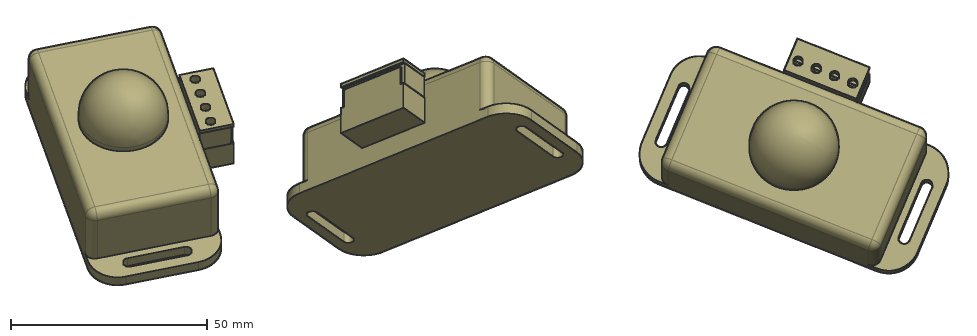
import cadquery as cq

flange_length = 76.0
flange_thickness = 3.05
housing_length = 60.2
housing_depth = 35.0
housing_height = 20.0
edge_radius = 2.5

ear_width = (flange_length - housing_length) / 2
ear_radius = ear_width

slot_width = 3.0
slot_length = 18.0
slot_margin = 3.05
slot_x = flange_length / 2 - slot_margin - slot_width / 2

dome_radius = 11.5
dome_collar = 1.5

terminal_length = 20.0
terminal_depth = 9.0
terminal_bottom = 5.9
terminal_top = 20.8
terminal_front = housing_depth / 2

groove_depth = 0.7
groove_bottom = 13.5
groove_top = 19.75
core_end_inset = 0.1
core_length = terminal_length - 2 * core_end_inset

ledge_height = 5.1
ledge_end_gap = 1.0
ledge_length = terminal_length - 2 * ledge_end_gap
ledge_top = groove_bottom + ledge_height

screw_count = 4
screw_pitch = 5.0
screw_diameter = 2.5
screw_offset = 3.5
screw_hole_depth = 2.5
drive_slot_width = 0.7
drive_slot_depth = 0.6


def plate(length, depth, height):
    """Plain block standing on z = 0, centred in x and y."""
    return cq.Workplane("XY").box(length, depth, height, centered=(True, True, False))


def make_housing():
    flange = plate(flange_length, housing_depth, flange_thickness).edges("|Z").fillet(ear_radius)
    slots = (
        cq.Workplane("XY")
        .pushPoints([(-slot_x, 0), (slot_x, 0)])
        .slot2D(slot_length, slot_width, 90)
        .extrude(flange_thickness)
    )
    upper_box = (
        plate(housing_length, housing_depth, housing_height - flange_thickness)
        .edges("|Z or >Z")
        .fillet(edge_radius)
        .translate((0, 0, flange_thickness))
    )
    return flange.cut(slots).union(upper_box)


def make_dome():
    collar = cq.Workplane("XY").workplane(offset=housing_height).circle(dome_radius).extrude(dome_collar)
    cap = (
        cq.Workplane("XY")
        .sphere(dome_radius, angle1=0, angle2=90)
        .translate((0, 0, housing_height + dome_collar))
    )
    return collar.union(cap)


def terminal_layer(length, depth, bottom, top):
    """One level of the terminal block, reaching back from the housing wall."""
    return plate(length, depth, top - bottom).translate((0, terminal_front + depth / 2, bottom))


def make_terminal():
    base = terminal_layer(terminal_length, terminal_depth, terminal_bottom, groove_bottom)
    core = terminal_layer(core_length, terminal_depth - groove_depth, groove_bottom, groove_top)
    cap = terminal_layer(terminal_length, terminal_depth, groove_top, terminal_top)
    ledge = terminal_layer(ledge_length, terminal_depth, groove_bottom, ledge_top)
    block = base.union(core).union(cap).union(ledge)

    screw_y = terminal_front + screw_offset
    screw_head = terminal_top - screw_hole_depth
    for index in range(screw_count):
        screw_x = (index - (screw_count - 1) / 2) * screw_pitch
        hole = (
            cq.Workplane("XY")
            .circle(screw_diameter / 2)
            .extrude(screw_hole_depth)
            .translate((screw_x, screw_y, screw_head))
        )
        drive_slot = (
            cq.Workplane("XY")
            .circle(screw_diameter / 2)
            .extrude(drive_slot_depth)
            .intersect(plate(screw_diameter, drive_slot_width, drive_slot_depth))
            .translate((screw_x, screw_y, screw_head - drive_slot_depth))
        )
        block = block.cut(hole).cut(drive_slot)
    return block


housing = make_housing()
dome = make_dome()
terminal = make_terminal()

result = cq.Compound.makeCompound([body.solids().val() for body in (housing, dome, terminal)])